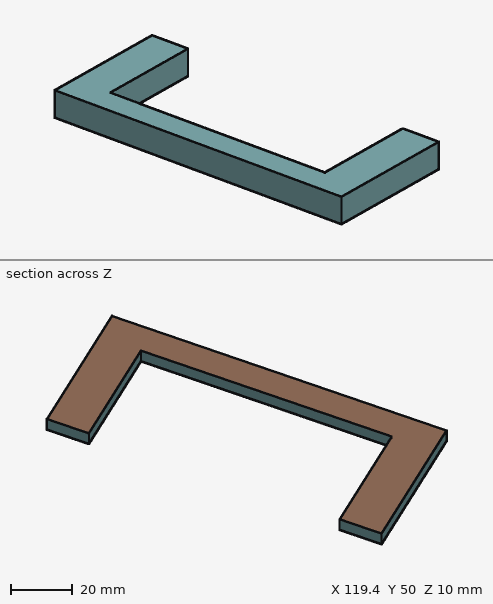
import cadquery as cq

length = 119.4
depth = 50.0
thickness = 10.0

grip_width = thickness
leg_width = 15.0


def box_from_corner(size_x, size_y, corner_x, corner_y):
    """Full-thickness block placed by its minimum X and Y corner."""
    block = cq.Workplane("XY").box(size_x, size_y, thickness, centered=False)
    return block.translate((corner_x, corner_y, 0))


result = box_from_corner(length, grip_width, -length / 2, 0)

for leg_start in (-length / 2, length / 2 - leg_width):
    result = result.union(box_from_corner(leg_width, depth, leg_start, 0))

result = result.clean()